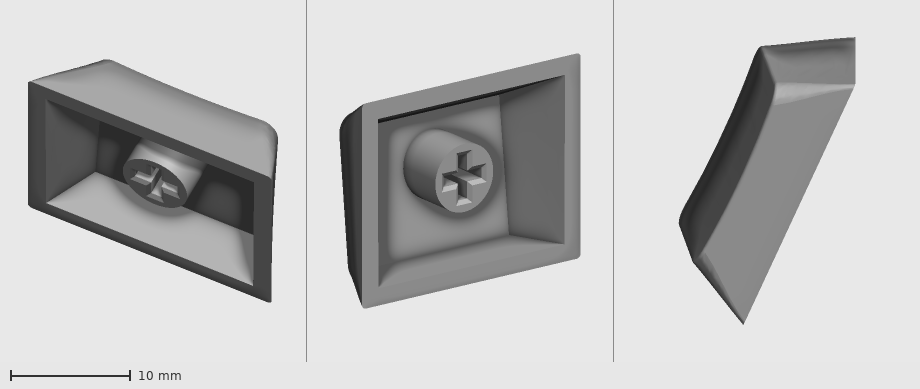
import math

import cadquery as cq

rim_width = 22.65
rim_height = 18.1
keytop_width = 16.6
bottom_z = -rim_height / 2
keytop_bottom_y = 6.05
keytop_slope = 0.112
upper_wall_slope = 0.49
rim_corner_radius = 0.4
keytop_corner_radius = 1.7
shell_steps = 4
keytop_edge_radius = 0.3

dish_radius = 74.0
dish_sag = 0.65

cavity_bottom_z = -7.52
cavity_rim_top_z = 7.4
cavity_rim_top_width = 19.4
cavity_rim_bottom_width = 19.26
floor_bottom_y = 4.7
floor_top_y = 6.0
floor_top_z = 4.5
floor_top_width = 14.56
floor_bottom_width = 14.7

stem_diameter = 6.0
stem_face_y = 1.0
stem_reach = floor_top_y
socket_length = 3.95
socket_arm_width = 0.95
socket_chamfer_width = 0.35
socket_chamfer_depth = 0.25

keytop_top_y = (keytop_bottom_y + keytop_slope * rim_height) / (1 + keytop_slope * upper_wall_slope)
keytop_tilt = math.atan(keytop_slope)


def shell_section(fraction):
    """Rounded outline of the shell, from the rim (0) to the keytop (1)."""
    width = rim_width + (keytop_width - rim_width) * fraction
    lower_y = keytop_bottom_y * fraction
    upper_y = keytop_top_y * fraction
    upper_z = rim_height / 2 - upper_wall_slope * upper_y
    blend = fraction ** 2 * (3 - 2 * fraction)
    radius = rim_corner_radius + (keytop_corner_radius - rim_corner_radius) * blend
    corners = [
        cq.Vector(-width / 2, lower_y, bottom_z),
        cq.Vector(width / 2, lower_y, bottom_z),
        cq.Vector(width / 2, upper_y, upper_z),
        cq.Vector(-width / 2, upper_y, upper_z),
    ]
    outline = cq.Wire.makePolygon(corners, close=True)
    return outline.fillet2D(radius, outline.Vertices())


def make_shell():
    """Smooth loft from the rim to the uncut keytop."""
    sections = [shell_section(step / shell_steps) for step in range(shell_steps + 1)]
    return cq.Workplane(cq.Solid.makeLoft(sections, False))


def make_dish():
    """Cylinder whose axis runs parallel to the tilted keytop."""
    axis = cq.Vector(0, math.sin(keytop_tilt), math.cos(keytop_tilt))
    outward = cq.Vector(0, math.cos(keytop_tilt), -math.sin(keytop_tilt))
    lower_edge = cq.Vector(0, keytop_bottom_y, bottom_z)
    start = lower_edge + outward * (dish_radius - dish_sag) - axis * rim_height
    return cq.Workplane(cq.Solid.makeCylinder(dish_radius, 3 * rim_height, start, axis))


def cavity_section(lower_width, lower_y, lower_z, upper_width, upper_y, upper_z):
    """Trapezoid with its parallel sides along X."""
    corners = [
        cq.Vector(-lower_width / 2, lower_y, lower_z),
        cq.Vector(lower_width / 2, lower_y, lower_z),
        cq.Vector(upper_width / 2, upper_y, upper_z),
        cq.Vector(-upper_width / 2, upper_y, upper_z),
    ]
    return cq.Wire.makePolygon(corners, close=True)


def make_cavity():
    """Ruled loft from the opening to the tilted floor."""
    opening = cavity_section(
        cavity_rim_bottom_width, 0, cavity_bottom_z, cavity_rim_top_width, 0, cavity_rim_top_z
    )
    floor = cavity_section(
        floor_bottom_width, floor_bottom_y, cavity_bottom_z, floor_top_width, floor_top_y, floor_top_z
    )
    return cq.Workplane(cq.Solid.makeLoft([opening, floor], True))


def socket_arm(length_x, length_z):
    """One bar of the cross, with a chamfered mouth."""
    stem_face = cq.Workplane("XZ", origin=(0, stem_face_y, 0))
    bar = stem_face.rect(length_x, length_z).extrude(-stem_reach)
    mouth = (
        stem_face
        .rect(length_x + 2 * socket_chamfer_width, length_z + 2 * socket_chamfer_width)
        .workplane(offset=-socket_chamfer_depth)
        .rect(length_x, length_z)
        .loft(ruled=True)
    )
    return bar.union(mouth)


def make_stem(cavity):
    """Stem trimmed to the cavity; its socket reaches the cavity floor."""
    stem = (
        cq.Workplane("XZ", origin=(0, stem_face_y, 0))
        .circle(stem_diameter / 2)
        .extrude(-stem_reach)
    )
    stem = stem.cut(socket_arm(socket_length, socket_arm_width))
    stem = stem.cut(socket_arm(socket_arm_width, socket_length))
    return stem.intersect(cavity)


shell = make_shell().cut(make_dish())
shell = shell.faces("%CYLINDER").edges().fillet(keytop_edge_radius)
cavity = make_cavity()
result = shell.cut(cavity).union(make_stem(cavity))